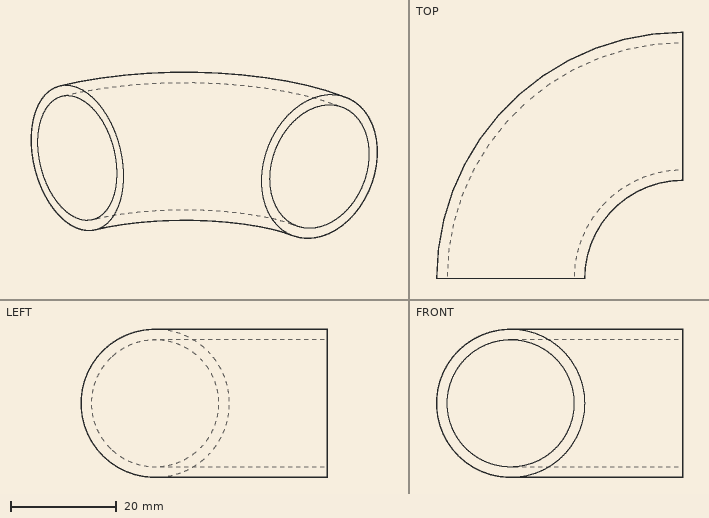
import cadquery as cq

overall_reach = 46.5
outer_diameter = 28.0
wall_thickness = 2.0
bend_angle = 90.0

outer_radius = outer_diameter / 2
inner_radius = outer_radius - wall_thickness
bend_radius = overall_reach - outer_radius


def bent_tube():
    """Revolve the ring-shaped end face about a Z axis through the origin.

    The open ends face -Y and +X.
    """
    end_face = (
        cq.Workplane("XZ")
        .center(-bend_radius, 0)
        .circle(outer_radius)
        .circle(inner_radius)
    )
    axis_start = (bend_radius, 0)
    axis_end = (bend_radius, -1)
    return end_face.revolve(bend_angle, axis_start, axis_end)


result = bent_tube()